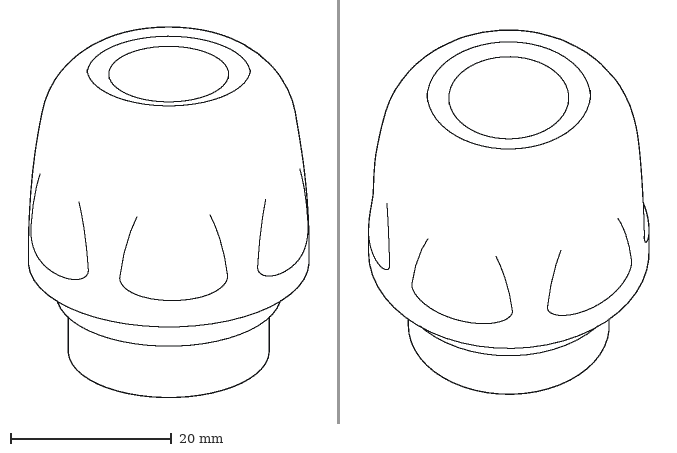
import cadquery as cq
import math

spigot_radius = 12.5
spigot_height = 8.0
collar_radius = 14.0
collar_height = 4.5

cap_base_z = spigot_height + collar_height
cap_radius = 17.45
band_height = 2.2
skirt_radius_of_curvature = 100.0
skirt_height = 18.0
dome_radius_of_curvature = 10.0
overall_height = 39.78
lip_outer_radius = 11.55
lip_crest_radius = 10.4
lip_rounding_radius = 2.0
lip_drop = 0.4

bore_radius = 7.45
recess_radius = 10.15
recess_depth = 0.95

flat_count = 6
flat_distance = 16.02
flat_base_z = 18.85
flat_fillet_radius = 3.2

skirt_base_z = cap_base_z + band_height
skirt_top_z = skirt_base_z + skirt_height
lip_inner_rounding = lip_crest_radius - recess_radius
lip_edge_z = overall_height - lip_drop


def skirt_radius_at(height_above_band):
    """Outer radius of the skirt, whose arc leaves the band tangentially."""
    arc_reach = math.sqrt(skirt_radius_of_curvature**2 - height_above_band**2)
    return cap_radius - skirt_radius_of_curvature + arc_reach


def make_body():
    """Revolved body with its through bore and the recess inside the lip."""
    skirt_middle = (skirt_radius_at(skirt_height / 2), skirt_base_z + skirt_height / 2)
    skirt_top = (skirt_radius_at(skirt_height), skirt_top_z)
    recess_floor_z = overall_height - recess_depth
    profile = (
        cq.Workplane("XZ")
        .moveTo(bore_radius, 0)
        .lineTo(spigot_radius, 0)
        .lineTo(spigot_radius, spigot_height)
        .lineTo(collar_radius, spigot_height)
        .lineTo(collar_radius, cap_base_z)
        .lineTo(cap_radius, cap_base_z)
        .lineTo(cap_radius, skirt_base_z)
        .threePointArc(skirt_middle, skirt_top)
        .radiusArc((lip_outer_radius, lip_edge_z), -dome_radius_of_curvature)
        .radiusArc((lip_crest_radius, overall_height), -lip_rounding_radius)
        .radiusArc((recess_radius, overall_height - lip_inner_rounding), -lip_inner_rounding)
        .lineTo(recess_radius, recess_floor_z)
        .lineTo(bore_radius, recess_floor_z)
        .close()
    )
    return profile.revolve(360, (0, 0, 0), (0, 1, 0))


def make_flat_cutter():
    """Material outside one grip flat, rounded outward along its lower edge."""
    outer_y = flat_distance + flat_fillet_radius
    return (
        cq.Workplane("YZ")
        .moveTo(flat_distance, overall_height)
        .lineTo(flat_distance, flat_base_z)
        .radiusArc((outer_y, flat_base_z - flat_fillet_radius), -flat_fillet_radius)
        .lineTo(outer_y, overall_height)
        .close()
        .extrude(cap_radius, both=True)
    )


result = make_body()
flat_cutter = make_flat_cutter()
for index in range(flat_count):
    angle = index * 360 / flat_count
    result = result.cut(flat_cutter.rotate((0, 0, 0), (0, 0, 1), angle))